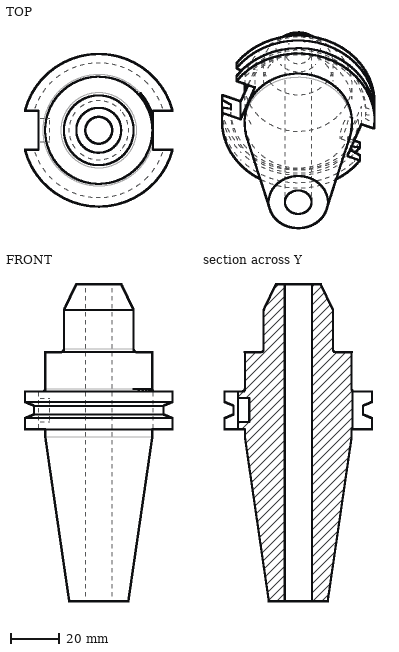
import cadquery as cq

total_height = 131.8
taper_length = 68.2
flange_bottom = 71.4
flange_height = 15.8
nose_length = 28.2
tip_length = 10.7
flange_top = flange_bottom + flange_height
body_top = total_height - nose_length
tip_base = total_height - tip_length

gauge_radius = 44.5 / 2
taper_ratio = 7 / 24
taper_end_radius = gauge_radius - taper_length * taper_ratio / 2
flange_radius = 63.5 / 2
body_radius = 22.3
nose_radius = 14.5
tip_radius = 9.4
bore_diameter = 11.1
body_fillet = 0.9
nose_fillet = 1.2

groove_radius = 28.0
groove_floor_width = 3.5
groove_center = flange_top - 7.8
groove_floor_half = groove_floor_width / 2
flank_height = 1.6
groove_mouth_half = groove_floor_half + flank_height

slot_width = 16.1
left_slot_floor = 25.0
right_slot_floor = 22.5
hole_diameter = 9.7
hole_depth = 4.6


def turned_body():
    """Taper, grooved flange, body and nose as one revolved profile."""
    return (
        cq.Workplane("XZ")
        .lineTo(taper_end_radius, 0)
        .lineTo(gauge_radius, taper_length)
        .lineTo(gauge_radius, flange_bottom)
        .lineTo(flange_radius, flange_bottom)
        .lineTo(flange_radius, groove_center - groove_mouth_half)
        .lineTo(groove_radius, groove_center - groove_floor_half)
        .lineTo(groove_radius, groove_center + groove_floor_half)
        .lineTo(flange_radius, groove_center + groove_mouth_half)
        .lineTo(flange_radius, flange_top)
        .lineTo(body_radius + body_fillet, flange_top)
        .radiusArc((body_radius, flange_top + body_fillet), body_fillet)
        .lineTo(body_radius, body_top)
        .lineTo(nose_radius + nose_fillet, body_top)
        .radiusArc((nose_radius, body_top + nose_fillet), nose_fillet)
        .lineTo(nose_radius, tip_base)
        .lineTo(tip_radius, total_height)
        .lineTo(0, total_height)
        .close()
        .revolve(360, (0, 0, 0), (0, 1, 0))
    )


def drive_slot(side, floor_distance):
    """Slot cutter through the flange and the fillet above it; side is -1 or +1 along X."""
    slot_length = flange_radius
    return (
        cq.Workplane("XY", origin=(side * (floor_distance + slot_length / 2), 0, flange_bottom))
        .rect(slot_length, slot_width)
        .extrude(flange_height + body_fillet)
    )


def slot_hole():
    """Blind hole running toward the axis from the -X slot floor."""
    return (
        cq.Workplane("YZ", origin=(-left_slot_floor, 0, groove_center))
        .circle(hole_diameter / 2)
        .extrude(hole_depth)
    )


bore = cq.Workplane("XY").circle(bore_diameter / 2).extrude(total_height)

result = (
    turned_body()
    .cut(drive_slot(-1, left_slot_floor))
    .cut(drive_slot(1, right_slot_floor))
    .cut(slot_hole())
    .cut(bore)
)